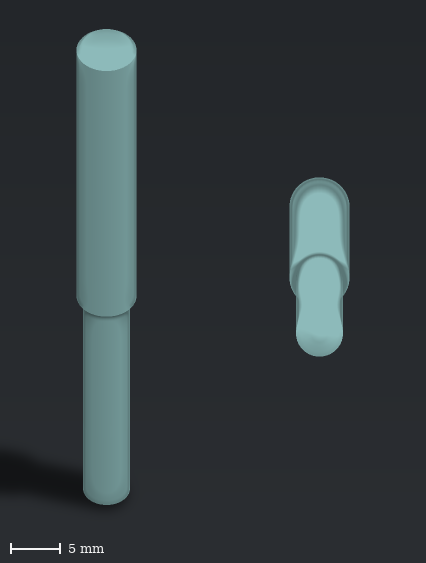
import cadquery as cq
import math

total_length = 62.75
shank_diameter = 6.0
shank_chamfer = 0.6
neck_diameter = 4.7
shoulder_height = 27.7
joint_height = 10.15
point_angle = 145.0

neck_radius = neck_diameter / 2
point_height = neck_radius / math.tan(math.radians(point_angle / 2))


def make_holder():
    """Chamfered shank with a thinner neck below it, ending at the joint."""
    neck = (
        cq.Workplane("XY")
        .workplane(offset=joint_height)
        .circle(neck_radius)
        .extrude(shoulder_height - joint_height)
    )
    shank = (
        cq.Workplane("XY")
        .workplane(offset=shoulder_height)
        .circle(shank_diameter / 2)
        .extrude(total_length - shoulder_height)
        .faces(">Z")
        .chamfer(shank_chamfer)
    )
    return shank.union(neck)


def make_cutting_tip():
    """Round tip below the joint, with a conical point that ends at Z = 0."""
    return (
        cq.Workplane("XZ")
        .polyline([
            (0, 0),
            (neck_radius, point_height),
            (neck_radius, joint_height),
            (0, joint_height),
        ])
        .close()
        .revolve(360, (0, 0, 0), (0, 1, 0))
    )


holder = make_holder()
cutting_tip = make_cutting_tip()

result = cq.Compound.makeCompound([holder.val(), cutting_tip.val()])